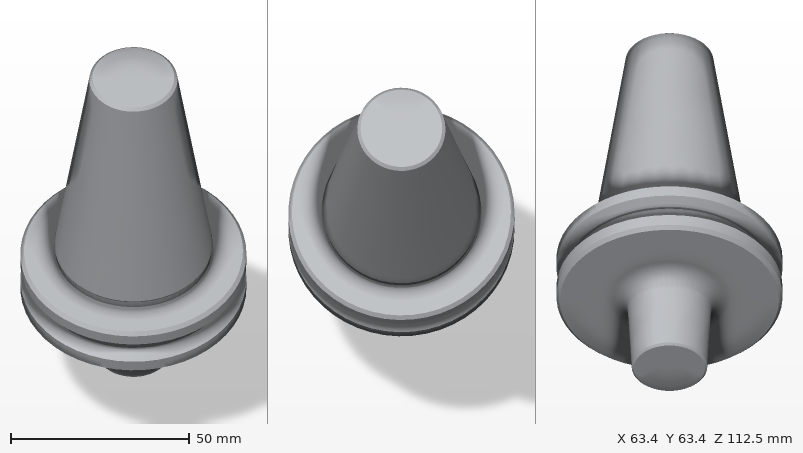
import cadquery as cq
import math

total_height = 112.5
flange_bottom = 25.0
flange_height = 16.0
gauge_height = 44.1

nose_end_radius = 10.6
nose_half_angle = 3.0
nose_chamfer = 0.6
nose_fillet = 5.0

flange_radius = 31.7
flange_chamfer = 1.0
groove_center = 33.1
groove_mouth_width = 7.1
groove_floor_width = 3.7
groove_floor_radius = 28.0
groove_flank_angle = 30.0

neck_radius = 21.9
neck_chamfer = 0.6

gauge_diameter = 44.4
taper_per_length = 7 / 24
taper_end_chamfer = 0.8

gauge_radius = gauge_diameter / 2
flange_top = flange_bottom + flange_height
nose_root_radius = nose_end_radius + flange_bottom * math.tan(math.radians(nose_half_angle))
taper_end_radius = gauge_radius - (total_height - gauge_height) * taper_per_length / 2
groove_mouth_half = groove_mouth_width / 2
groove_floor_half = groove_floor_width / 2
groove_flank_depth = (groove_mouth_half - groove_floor_half) / math.tan(math.radians(groove_flank_angle))
groove_step_radius = flange_radius - groove_flank_depth


def revolve_profile(points):
    """Turn a closed (radius, height) outline about the Z axis."""
    return cq.Workplane("XZ").polyline(points).close().revolve(360, (0, 0, 0), (0, 1, 0))


def make_body():
    """Nose, flange, neck and taper as one turned blank."""
    return revolve_profile([
        (0, 0),
        (nose_end_radius, 0),
        (nose_root_radius, flange_bottom),
        (flange_radius, flange_bottom),
        (flange_radius, flange_top),
        (neck_radius + neck_chamfer, flange_top),
        (neck_radius, flange_top + neck_chamfer),
        (neck_radius, gauge_height - neck_chamfer),
        (gauge_radius, gauge_height),
        (taper_end_radius, total_height),
        (0, total_height),
    ])


def make_groove():
    """Ring that cuts the gripper groove into the flange rim."""
    return revolve_profile([
        (flange_radius, groove_center - groove_mouth_half),
        (groove_step_radius, groove_center - groove_floor_half),
        (groove_floor_radius, groove_center - groove_floor_half),
        (groove_floor_radius, groove_center + groove_floor_half),
        (groove_step_radius, groove_center + groove_floor_half),
        (flange_radius, groove_center + groove_mouth_half),
    ])


def circle_at(radius, height):
    """Selector for the circular edge of a given radius and height."""
    tolerance = 0.01
    low = (-radius - tolerance, -radius - tolerance, height - tolerance)
    high = (radius + tolerance, radius + tolerance, height + tolerance)
    return cq.selectors.BoxSelector(low, high, boundingbox=True)


body = make_body()
body = body.edges(circle_at(nose_root_radius, flange_bottom)).fillet(nose_fillet)
body = body.edges(circle_at(nose_end_radius, 0)).chamfer(nose_chamfer)
body = body.edges(circle_at(taper_end_radius, total_height)).chamfer(taper_end_chamfer)
for level in (flange_bottom, flange_top):
    rim = cq.selectors.RadiusNthSelector(-1)
    body = body.edges(circle_at(flange_radius, level)).edges(rim).chamfer(flange_chamfer)

result = body.cut(make_groove())